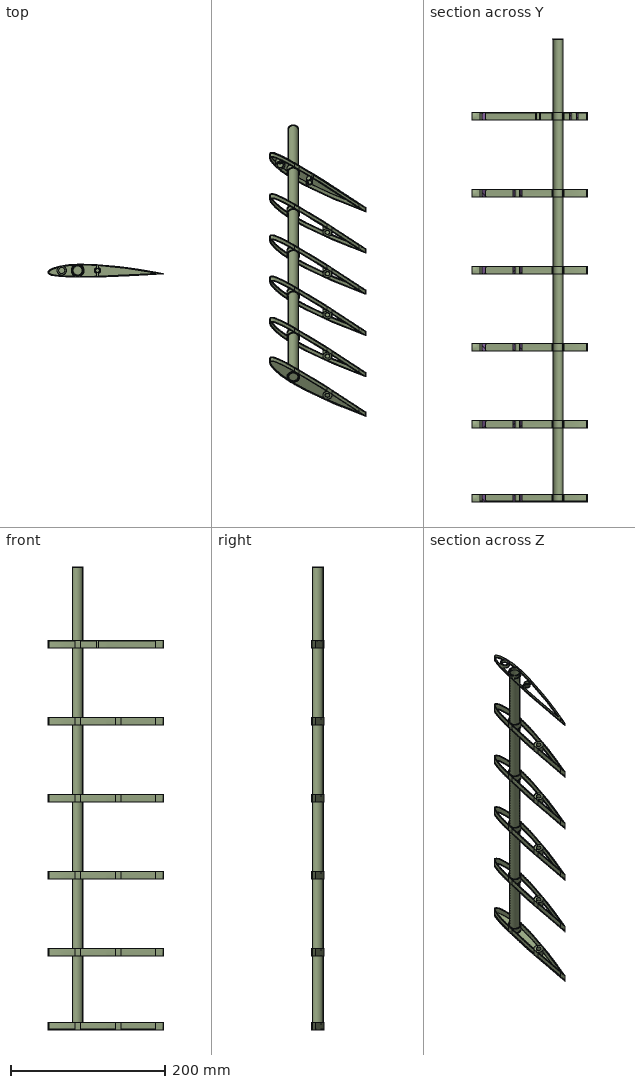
import cadquery as cq
import math


chord = 150.0
camber = 0.02
camber_position = 0.3
thickness_ratio = 0.1124
incidence = 0.6
points_per_side = 14
tangent_step = 1e-4

rib_height = 10.0
rib_spacing = 100.0
middle_rib_count = 4
skin = 1.0
plate = 1.0
cavity_tail = 0.93

tube_diameter = 14.0
tube_bore = 12.0
tube_length = 600.0
tube_hole_diameter = tube_diameter + 0.2
collar_diameter = 16.6
tube_x = 38.5
tube_y = 2.7

aft_boss_x = 91.0
aft_boss_y = 0.8
aft_boss_diameter = 12.0
aft_boss_hole = 6.0

front_boss_x = 17.8
front_boss_diameter = 12.0
front_boss_hole = 8.0
rear_boss_x = 64.3
rear_boss_diameter = 8.0
rear_boss_hole = 5.2
boss_web_thickness = 2.2
boss_web_length = 30.0


def half_thickness(s):
    """Half the profile thickness at chord fraction s."""
    polynomial = 0.2969 * math.sqrt(s) - 0.126 * s - 0.3516 * s**2 + 0.2843 * s**3 - 0.1036 * s**4
    return 5 * thickness_ratio * polynomial


def mean_line(s):
    """Height and slope of the camber line at chord fraction s."""
    p = camber_position
    if s < p:
        front = camber / p**2
        return front * (2 * p * s - s**2), 2 * front * (p - s)
    aft = camber / (1 - p) ** 2
    return aft * (1 - 2 * p + 2 * p * s - s**2), 2 * aft * (p - s)


def outer_point(s, side):
    """Point on the upper (side 1) or lower (side -1) surface."""
    height, slope = mean_line(s)
    angle = math.atan(slope)
    offset = side * half_thickness(s)
    return chord * (s - offset * math.sin(angle)), chord * (height + offset * math.cos(angle))


def inner_point(s, side):
    """Outer point moved inward, square to the surface, by the skin thickness."""
    if s == 0:
        return skin, 0.0
    x, y = outer_point(s, side)
    x_before, y_before = outer_point(s * (1 - tangent_step), side)
    x_after, y_after = outer_point(s * (1 + tangent_step), side)
    dx = x_after - x_before
    dy = y_after - y_before
    inward = side * skin / math.hypot(dx, dy)
    return x + inward * dy, y - inward * dx


def airfoil_prism(point, tail, height, base=0.0):
    """Upright prism of the profile from the nose to chord fraction tail."""
    turns = [math.pi * i / points_per_side for i in range(points_per_side + 1)]
    stations = [tail * (1 - math.cos(turn)) / 2 for turn in turns]
    upper = [point(s, 1) for s in reversed(stations)]
    lower = [point(s, -1) for s in stations[1:]]
    outline = cq.Workplane("XY", origin=(0, 0, base)).spline(upper + lower).close()
    return outline.extrude(height).rotate((0, 0, 0), (0, 0, 1), -incidence)


def post(x, y, diameter, base=0.0):
    """Vertical cylinder as tall as a rib, starting at base."""
    return cq.Workplane("XY", origin=(x, y, base)).circle(diameter / 2).extrude(rib_height)


def rib(fillings, holes, floor=0.0, roof=0.0):
    """Hollow rib: the fillings stay solid inside it and the holes are drilled last."""
    cavity = airfoil_prism(inner_point, cavity_tail, rib_height - floor - roof, floor)
    for filling in [post(tube_x, tube_y, collar_diameter)] + fillings:
        cavity = cavity.cut(filling)
    body = airfoil_prism(outer_point, 1.0, rib_height).cut(cavity)
    for hole in [post(tube_x, tube_y, tube_hole_diameter, floor)] + holes:
        body = body.cut(hole)
    return body


def open_rib(floor=0.0):
    """Rib with one boss behind the tube, open on top and closed below only by the floor."""
    boss = post(aft_boss_x, aft_boss_y, aft_boss_diameter)
    boss_hole = post(aft_boss_x, aft_boss_y, aft_boss_hole, floor)
    return rib([boss], [boss_hole], floor=floor)


def top_rib():
    """Rib closed by a roof, with a bored boss on each side of the tube."""
    web = (
        cq.Workplane("XY", origin=(rear_boss_x, tube_y, 0))
        .rect(boss_web_thickness, boss_web_length)
        .extrude(rib_height)
    )
    front_boss = post(front_boss_x, tube_y, front_boss_diameter)
    rear_boss = post(rear_boss_x, tube_y, rear_boss_diameter)
    front_hole = post(front_boss_x, tube_y, front_boss_hole)
    rear_hole = post(rear_boss_x, tube_y, rear_boss_hole)
    return rib([front_boss, rear_boss, web], [front_hole, rear_hole], roof=plate)


def spar_tube():
    section = cq.Workplane("XY", origin=(tube_x, tube_y, 0)).circle(tube_diameter / 2).circle(tube_bore / 2)
    return section.extrude(tube_length)


def rib_base(level):
    """Height of the underside of a rib centred on a whole number of spacings."""
    return level * rib_spacing - rib_height / 2


tube = spar_tube()
bottom_rib = open_rib(floor=plate).translate((0, 0, -plate))
middle_ribs = []
for level in range(1, middle_rib_count + 1):
    middle_ribs.append(open_rib().translate((0, 0, rib_base(level))))
end_rib = top_rib().translate((0, 0, rib_base(middle_rib_count + 1)))

result = cq.Compound.makeCompound(
    [tube.val(), bottom_rib.val(), *[middle_rib.val() for middle_rib in middle_ribs], end_rib.val()]
)